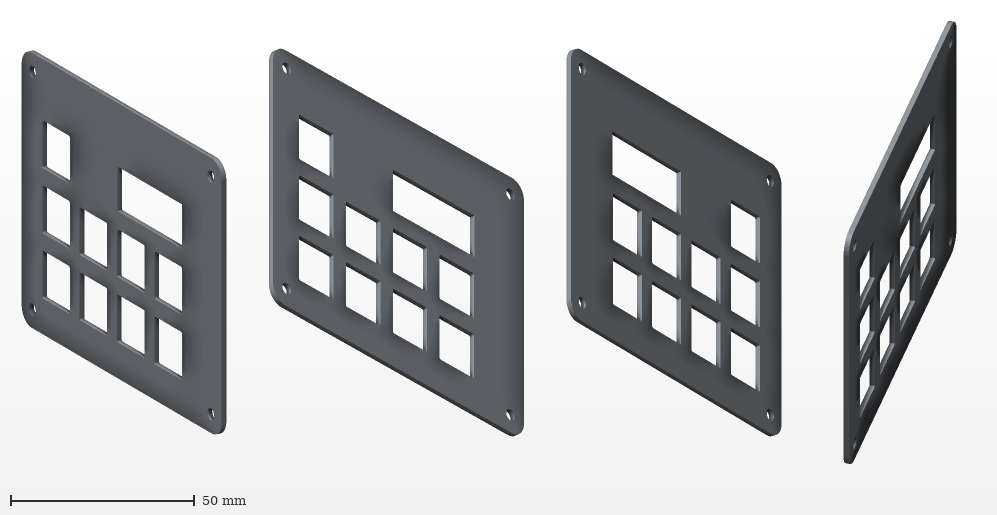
import cadquery as cq

PLATE_WIDTH = 101.96
PLATE_HEIGHT = 80.5
PLATE_THICKNESS = 1.5
PLATE_CORNER_RADIUS = 5.0

SCREW_HOLE_DIAMETER = 3.4
SCREW_HOLE_INSET = 5.5

KEY_SIZE = 14.0
KEY_CORNER_RADIUS = 0.5
KEY_PITCH = 19.05
KEY_COLUMNS = 4
FULL_KEY_ROWS = 2
FIRST_KEY_X = -33.45
FIRST_KEY_Z = -22.75

WINDOW_WIDTH = 33.0
WINDOW_HEIGHT = 13.0
WINDOW_CENTER_X = 14.3
WINDOW_CENTER_Z = 15.17


def rounded_block(width, height, corner_radius):
    """Block of plate thickness, centred on the origin, with its four corner edges rounded."""
    block = cq.Workplane("XY").box(width, PLATE_THICKNESS, height)
    return block.edges("|Y").fillet(corner_radius)


def screw_holes():
    """Four cylinders, one at each corner of the plate."""
    return (
        cq.Workplane("XZ")
        .rect(
            PLATE_WIDTH - 2 * SCREW_HOLE_INSET,
            PLATE_HEIGHT - 2 * SCREW_HOLE_INSET,
            forConstruction=True,
        )
        .vertices()
        .circle(SCREW_HOLE_DIAMETER / 2)
        .extrude(PLATE_THICKNESS / 2, both=True)
    )


def key_positions():
    """Column and row of every key: full rows, plus one key above the first column."""
    full_rows = [(column, row) for row in range(FULL_KEY_ROWS) for column in range(KEY_COLUMNS)]
    return full_rows + [(0, FULL_KEY_ROWS)]


def key_opening(column, row):
    """Cutter for the key opening at the given grid place."""
    x = FIRST_KEY_X + column * KEY_PITCH
    z = FIRST_KEY_Z + row * KEY_PITCH
    return rounded_block(KEY_SIZE, KEY_SIZE, KEY_CORNER_RADIUS).translate((x, 0, z))


def display_window():
    """Cutter for the sharp-cornered display window."""
    window = cq.Workplane("XY").box(WINDOW_WIDTH, PLATE_THICKNESS, WINDOW_HEIGHT)
    return window.translate((WINDOW_CENTER_X, 0, WINDOW_CENTER_Z))


plate = rounded_block(PLATE_WIDTH, PLATE_HEIGHT, PLATE_CORNER_RADIUS)
plate = plate.cut(screw_holes())
for column, row in key_positions():
    plate = plate.cut(key_opening(column, row))
result = plate.cut(display_window())